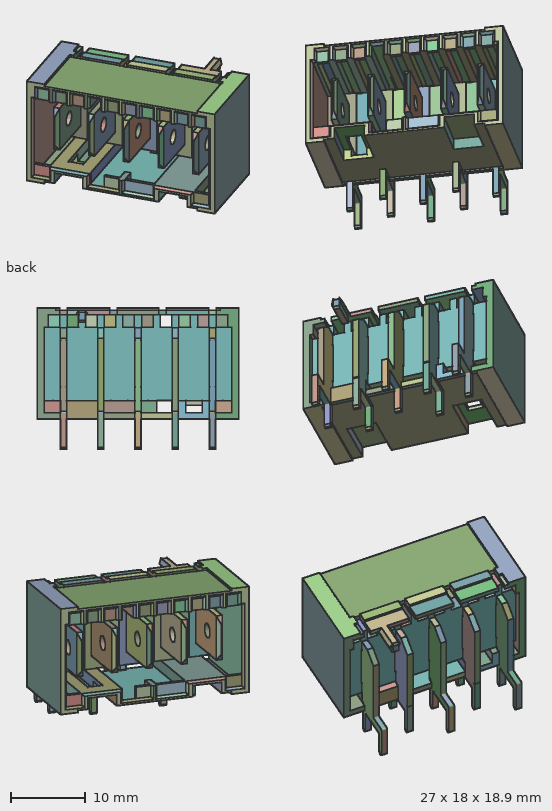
import cadquery as cq

width = 27.0
depth = 12.75
height = 14.9
half_width = width / 2

pitch = 5.0
blade_count = 5
blade_xs = [(i - (blade_count - 1) / 2) * pitch for i in range(blade_count)]

mouth_half_width = 12.85
mouth_floor = 0.6
mouth_inset = 0.3
mouth_depth = 0.38
cavity_floor = mouth_floor + mouth_inset
cavity_half_width = mouth_half_width - mouth_inset

step_top = 2.48
step_mouth_xs = (4.85, 10.07)
rib_mouth_half = 0.14
rib_end = 2.7

row_floor = 12.35
row_mouth_half = 12.35
row_mouth_top = 14.3
row_top = 13.95
tooth_mouth_half = 0.2
tooth_pitch = pitch / 2
tooth_count = 2 * blade_count - 1
tooth_xs = [(i - (tooth_count - 1) / 2) * tooth_pitch for i in range(tooth_count)]
open_row_index = 3

lip_thickness = 0.49
lip_gap_start = -4.54
lip_gap_end = -2.55

block_front = 9.95
block_back = 11.75
panel_front = 9.75
panel_half_width = 1.38

relief_half_width = 11.0
relief_depth = 0.3
ridge_start = 9.42
ridge_end = 10.77
sill_start = 12.23
gaps = [(2.8, 3.8), (9.5, 10.45)]

step_recess_xs = (5.45, 9.55)
step_recess_top = 1.85
step_recess_depth = 6.26
channel_xs = (-8.59, -6.43)
channel_start = 2.73

blade_thickness = 0.85
tip_y = 1.2
tip_base_y = 2.05
tip_width = 0.14
tip_inset = 0.95
tongue_bottom = 4.35
tongue_top = 10.58
hole_diameter = 2.0
hole_y = 5.45
head_front = 11.9
head_top = 12.25
slope_start = 13.58
slope_end_height = 10.85
arm_top = 1.05
arm_bottom = -0.35
leg_width = 0.85
leg_bottom = -4.0
leg_tip = 0.27
inner_fillet = 0.15
arm_corner_radius = 0.22
far_head_back = 15.47
far_leg_back = 18.0
near_back = 15.58
leg_spacing = 5.0

peg_x = 1.5 * pitch
peg_width = 1.65
peg_stem_width = 0.86
peg_bottom = 12.95
peg_shoulder = 13.95
peg_end = 16.4
peg_tip_chamfer = 0.27
peg_taper_start = 15.9


def block(xs, ys, zs):
    """Box spanning the given X, Y and Z ranges."""
    return (
        cq.Workplane("XY")
        .box(xs[1] - xs[0], ys[1] - ys[0], zs[1] - zs[0], centered=False)
        .translate((xs[0], ys[0], zs[0]))
    )


def mirrored(xs):
    """The X range and its mirror image."""
    return [xs, (-xs[1], -xs[0])]


def mouth_outline(inset, row_ceiling):
    """Outline of the mouth on XZ, shrunk by the inset."""
    side = mouth_half_width - inset
    floor = mouth_floor + inset
    step_z = step_top - mouth_inset + inset
    row_side = row_mouth_half - inset
    shoulder = row_floor + mouth_inset - inset
    rib = rib_mouth_half + inset
    tooth = tooth_mouth_half + inset
    inner, outer = step_mouth_xs[0] - inset, step_mouth_xs[1] + inset

    right_floor = [
        (rib, step_top), (rib, floor), (inner, floor), (inner, step_z),
        (outer, step_z), (outer, floor), (side, floor),
    ]
    points = [(-x, z) for x, z in reversed(right_floor)] + right_floor
    points += [(side, shoulder), (row_side, shoulder), (row_side, row_ceiling)]
    for x in reversed(tooth_xs):
        points += [
            (x + tooth, row_ceiling), (x + tooth, row_floor),
            (x - tooth, row_floor), (x - tooth, row_ceiling),
        ]
    points += [(-row_side, row_ceiling), (-row_side, shoulder), (-side, shoulder)]
    return points


def make_cavity():
    """Tapered mouth, ribbed front part and plain tunnel through to the back."""
    inner_outline = mouth_outline(mouth_inset, row_top)
    taper = (
        cq.Workplane("XZ")
        .polyline(mouth_outline(0, row_mouth_top)).close()
        .workplane(offset=-mouth_depth)
        .polyline(inner_outline).close()
        .loft(ruled=True)
    )
    ribbed = (
        cq.Workplane("XZ", origin=(0, mouth_depth, 0))
        .polyline(inner_outline).close()
        .extrude(mouth_depth - rib_end)
    )
    row_half = row_mouth_half - mouth_inset
    tunnel_ys = (rib_end, depth)
    tunnel = block((-cavity_half_width, cavity_half_width), tunnel_ys, (cavity_floor, row_floor))
    tunnel = tunnel.union(block((-row_half, row_half), tunnel_ys, (row_floor, row_top)))
    step = (step_mouth_xs[0] - mouth_inset, step_mouth_xs[1] + mouth_inset)
    for xs in mirrored(step):
        tunnel = tunnel.cut(block(xs, tunnel_ys, (cavity_floor, step_top)))
    tooth_half = tooth_mouth_half + mouth_inset
    for x in tooth_xs:
        xs = (x - tooth_half, x + tooth_half)
        tunnel = tunnel.cut(block(xs, (rib_end, block_back), (row_floor, row_top)))
    return taper.union(ribbed).union(tunnel)


def make_lips():
    """Plugs in the top openings and the low lip along the floor."""
    ys = (mouth_depth, mouth_depth + lip_thickness)
    lips = block((lip_gap_end, cavity_half_width), ys, (cavity_floor, step_top))
    left_lip = block((-cavity_half_width, lip_gap_start), ys, (cavity_floor, step_top))
    lips = lips.union(left_lip)
    for i in range(tooth_count + 1):
        if i != open_row_index:
            x = tooth_xs[0] + (i - 0.5) * tooth_pitch
            xs = (x - tooth_pitch / 2, x + tooth_pitch / 2)
            lips = lips.union(block(xs, ys, (row_floor, row_top)))
    return lips


def make_contact_block():
    """Cross block that holds the blades, with a raised panel around each one."""
    zs = (step_top, row_floor)
    body = block((-cavity_half_width, cavity_half_width), (block_front, block_back), zs)
    for x in blade_xs:
        xs = (x - panel_half_width, x + panel_half_width)
        body = body.union(block(xs, (panel_front, block_back), zs))
    return body


def cut_outside(body):
    """Shallow reliefs, gaps in the rear top edge, step recesses and floor channel."""
    relief_xs = (-relief_half_width, relief_half_width)
    upper = (height - relief_depth, height)
    body = body.cut(block(relief_xs, (0, ridge_start), upper))
    body = body.cut(block(relief_xs, (ridge_end, depth), upper))
    body = body.cut(block(relief_xs, (0, sill_start), (0, relief_depth)))

    for gap in gaps:
        for xs in mirrored(gap):
            body = body.cut(block(xs, (ridge_start, depth), (row_top, height)))

    for xs in mirrored(step_recess_xs):
        body = body.cut(block(xs, (0, step_recess_depth), (0, step_recess_top)))
    return body.cut(block(channel_xs, (channel_start, depth), (cavity_floor, step_top)))


def make_legs(xs, rear_leg_back):
    """Level arm with two solder legs hanging from its ends."""
    front = rear_leg_back - leg_spacing - leg_width
    legs = block(xs, (front, rear_leg_back), (leg_bottom, arm_top))
    legs = legs.edges(">Y and >Z").fillet(arm_corner_radius)
    space = block(xs, (front + leg_width, rear_leg_back - leg_width), (leg_bottom, arm_bottom))
    space = space.faces(">Z").edges("|X").fillet(inner_fillet)
    return legs.cut(space).faces("<Z").edges("|X").chamfer(leg_tip)


def make_contact(x, head_back, rear_leg_back):
    """Blade with a tapered tip and a round hole, tall rear head and two legs."""
    xs = (x - blade_thickness / 2, x + blade_thickness / 2)
    tongue_height = tongue_top - tongue_bottom
    tongue_middle = (tongue_top + tongue_bottom) / 2
    tip = (
        cq.Workplane("XZ", origin=(x, tip_y, tongue_middle))
        .rect(tip_width, tongue_height - 2 * tip_inset)
        .workplane(offset=tip_y - tip_base_y)
        .rect(blade_thickness, tongue_height)
        .loft(ruled=True)
    )
    tongue = block(xs, (tip_base_y, head_front), (tongue_bottom, tongue_top))
    hole = (
        cq.Workplane("YZ", origin=(xs[0], hole_y, tongue_middle))
        .circle(hole_diameter / 2)
        .extrude(blade_thickness)
    )
    head = (
        cq.Workplane("YZ", origin=(xs[0], 0, 0))
        .polyline([
            (head_front, arm_top), (head_back, arm_top),
            (head_back, slope_end_height), (slope_start, head_top),
            (head_front, head_top),
        ])
        .close()
        .extrude(blade_thickness)
    )
    frame = head.union(make_legs(xs, rear_leg_back)).clean()
    if rear_leg_back > head_back:
        corner = cq.selectors.NearestToPointSelector((x, head_back, arm_top))
        frame = frame.edges(corner).fillet(inner_fillet)
    return tip.union(tongue).cut(hole).union(frame)


def make_peg():
    """Keying peg: upright stem with a sloping wing on each side, tapered in plan at the tip."""
    half, stem_half = peg_width / 2, peg_stem_width / 2
    top = height - relief_depth
    stem = block((peg_x - stem_half, peg_x + stem_half), (depth, peg_end), (peg_bottom, top))
    stem = stem.faces(">Y").edges("|X").chamfer(peg_tip_chamfer)
    wings = (
        cq.Workplane("XZ", origin=(peg_x, depth, 0))
        .polyline([
            (-half, peg_shoulder), (half, peg_shoulder), (stem_half, top), (-stem_half, top),
        ])
        .close()
        .extrude(depth - peg_end)
    )
    plan = (
        cq.Workplane("XY", origin=(peg_x, 0, peg_shoulder))
        .polyline([
            (-half, depth), (half, depth), (half, peg_taper_start),
            (stem_half, peg_end), (-stem_half, peg_end), (-half, peg_taper_start),
        ])
        .close()
        .extrude(top - peg_shoulder)
    )
    between = block((peg_x - stem_half, peg_x + stem_half), (depth, peg_end), (peg_shoulder, top))
    return stem.union(wings.intersect(plan).cut(between))


housing = block((-half_width, half_width), (0, depth), (0, height))
housing = housing.cut(make_cavity()).union(make_lips()).union(make_contact_block())
housing = cut_outside(housing)

result = housing.union(make_peg())
for i, x in enumerate(blade_xs):
    if i % 2 == 0:
        contact = make_contact(x, far_head_back, far_leg_back)
    else:
        contact = make_contact(x, near_back, near_back)
    result = result.union(contact)